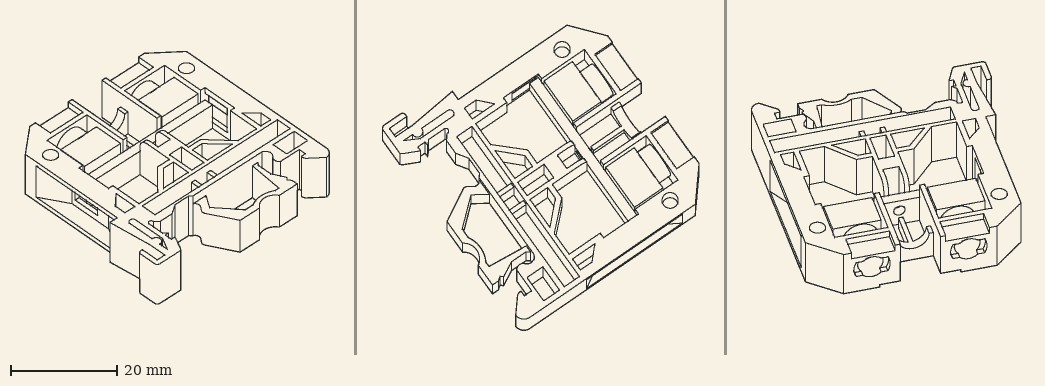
import cadquery as cq


length = 45.0
height = 10.0
half_width = 21.0
foot_bottom_y = -25.0
wall = 1.0
floor_z = wall

face_half_width = 14.95
bevel_length = 5.1
body_end_x = 30.05
rail_face_x = 35.45
lowered_top_z = 8.0

entry_y = 9.45
notch_half_width = 3.9
clamp_pocket_inner_y = notch_half_width + wall
clamp_pocket_outer_y = 15.3
crossbar_x = 14.9
crossbar_thickness = 2.02
crossbar_top_z = 6.9
chamber_x = crossbar_x + crossbar_thickness
entry_z = 5.55
entry_radius = 2.5
ear_radius = 3.55
ear_half_height = 1.75
ear_depth = 1.15
screw_head_radius = 3.55
clamp_x = 8.2
clamp_length = 6.55
clamp_width = 9.45
clamp_top_z = 9.25
label_depth = 1.43
label_length = 4.05
label_outer_y = 13.45

bearing_wall_thickness = 1.95
bearing_z = 6.55
bearing_radius = 3.1
bearing_rib_width = 0.9
bearing_rib_length = 8.92
pin_hole_radius = 1.1
pin_hole_z = 4.45

chamber_outer_y = 16.4
chamber_step_x = 22.9
rib_outer_y = 2.5
rib_inner_y = 1.55
rib_round = 1.95
bridge_start_x = 20.95
bridge_end_x = 23.95
brace_x = 24.95
brace_knee_y = 5.6
brace_end_y = 10.45
brace_hole_x = 26.0
brace_hole_knee_y = 5.0
brace_hole_end_y = 9.0
corner_hole_x = 27.35
corner_hole_y = 19.0

slot_start_x = 30.9
slot_end_x = 34.35
slot_top_y = 19.9

relief_end_x = 39.1
relief_bottom_y = 14.45
relief_round = 0.25

nose_top_y = 11.55
nose_bottom_y = -6.9

recess_start_x = 8.05
recess_floor_start_x = 14.08
recess_floor_end_x = 24.0
recess_depth = half_width - chamber_outer_y - wall
recess_top_z = 8.92
recess_bottom_z = 1.1
window_size = 6.03
window_bottom_z = 2.55

marking_hole_x = 8.55
marking_hole_y = 17.7
marking_hole_radius = 1.5
marking_hole_depth = 4.6
base_relief_half_width = 7.9
base_relief_height = 0.6

foot_x = 39.85
foot_round = 0.7
foot_slot_end_x = 43.85
foot_slot_top_y = -21.9
foot_slot_bottom_y = -23.87
foot_slot_floor_z = 1.45

MARGIN = 0.45


def box(x0, x1, y0, y1, z0, z1):
    """Axis-aligned block between the given limits."""
    size = (x1 - x0, y1 - y0, z1 - z0)
    return cq.Workplane("XY").box(*size, centered=False).translate((x0, y0, z0))


def prism(points, z0=floor_z, z1=height + MARGIN):
    """Upright prism over a closed polygon."""
    return cq.Workplane("XY").workplane(offset=z0).polyline(points).close().extrude(z1 - z0)


def x_cylinder(x0, x1, y, z, radius):
    """Cylinder along X."""
    return cq.Workplane("YZ", origin=(x0, y, z)).circle(radius).extrude(x1 - x0)


def side_box(side, x0, x1, inner_y, outer_y, z0, z1):
    """Block on the +Y (side = 1) or -Y (side = -1) half of the body."""
    low_y, high_y = sorted((side * inner_y, side * outer_y))
    return box(x0, x1, low_y, high_y, z0, z1)


def side_prism(side, points, z0=floor_z, z1=height + MARGIN):
    """Upright prism on the +Y or -Y half of the body."""
    return prism([(x, side * y) for x, y in points], z0, z1)


def housing_blank():
    """Full-height outline with the rail hook, support nose and sprung foot."""
    outline = (
        cq.Workplane("XY")
        .moveTo(0, -notch_half_width)
        .lineTo(bevel_length, -notch_half_width)
        .lineTo(bevel_length, notch_half_width)
        .lineTo(0, notch_half_width)
        .lineTo(0, face_half_width)
        .lineTo(bevel_length, half_width)
        .lineTo(43.0, half_width)
        .threePointArc((44.35, 20.5), (length, 19.15))
        .lineTo(42.55, 16.25)
        .threePointArc((42.05, 15.95), (41.5, 15.95))
        .lineTo(41.5, 17.0)
        .lineTo(foot_x, 17.0)
        .lineTo(foot_x, 12.1)
        .threePointArc((38.9, 11.6), (37.9, 11.95))
        .threePointArc((36.9, 12.5), (rail_face_x, nose_top_y))
        .lineTo(rail_face_x, 10.45)
        .lineTo(36.15, 9.95)
        .lineTo(39.45, 9.95)
        .lineTo(42.35, 11.45)
        .lineTo(42.83, 11.0)
        .lineTo(43.65, nose_top_y)
        .lineTo(length, nose_top_y)
        .lineTo(length, 6.85)
        .threePointArc((43.55, 4.32), (length, 1.75))
        .lineTo(length, -3.35)
        .lineTo(38.9, -6.75)
        .threePointArc((38.5, -6.85), (38.1, -6.75))
        .lineTo(37.0, -6.0)
        .threePointArc((36.15, -5.9), (rail_face_x, -6.55))
        .lineTo(34.9, -7.1)
        .lineTo(34.9, -10.63)
        .lineTo(36.4, -12.85)
        .lineTo(36.4, -15.85)
        .lineTo(35.55, -16.9)
        .threePointArc((34.9, -17.4), (35.3, -17.9))
        .lineTo(39.0, -17.9)
        .lineTo(foot_x, -17.05)
        .lineTo(foot_x, -17.9)
        .lineTo(41.5, -17.9)
        .lineTo(41.5, -16.97)
        .lineTo(44.55, -18.45)
        .lineTo(length, -18.8)
        .lineTo(length, foot_bottom_y)
        .lineTo(foot_x, foot_bottom_y)
        .lineTo(foot_x, foot_slot_top_y)
        .lineTo(body_end_x, -22.95)
        .lineTo(body_end_x, -half_width)
        .lineTo(bevel_length, -half_width)
        .lineTo(0, -face_half_width)
        .close()
    )
    blank = outline.extrude(height)
    foot_corners = cq.selectors.BoxSelector(
        (foot_x - MARGIN, foot_bottom_y - MARGIN, 0),
        (length + MARGIN, foot_bottom_y + MARGIN, height),
    )
    return blank.edges("|Z").edges(foot_corners).fillet(foot_round)


def nose_opening():
    """Through opening that leaves the support nose as a closed loop."""
    return (
        cq.Workplane("XY")
        .moveTo(rail_face_x, 9.0)
        .lineTo(43.45, 8.25)
        .lineTo(43.45, 7.25)
        .threePointArc((42.7, 4.35), (43.45, 1.45))
        .lineTo(43.45, -0.55)
        .lineTo(38.35, -4.95)
        .lineTo(rail_face_x, -3.1)
        .close()
        .extrude(height)
    )


def above_nose():
    """Space over the support nose, which is lower than the rest of the body."""
    return box(rail_face_x, length, nose_bottom_y, nose_top_y, lowered_top_z, height)


def spring_slit():
    """Through slit that frees the spring arm of the foot."""
    top_y = -18.95
    bottom_y = -20.42
    straight_start_x = 32.75
    return (
        cq.Workplane("XY")
        .moveTo(straight_start_x, top_y)
        .lineTo(40.2, top_y)
        .lineTo(43.0, bottom_y)
        .lineTo(40.95, bottom_y)
        .threePointArc((39.9, -19.3), (38.85, bottom_y))
        .lineTo(straight_start_x, bottom_y)
        .threePointArc((32.15, (top_y + bottom_y) / 2), (straight_start_x, top_y))
        .close()
        .extrude(height)
    )


def foot_slot():
    """Screwdriver slot in the foot, open at the top and toward -X."""
    return box(
        foot_x, foot_slot_end_x,
        foot_slot_bottom_y, foot_slot_top_y,
        foot_slot_floor_z, height + MARGIN,
    )


def cut_entry_tower(body, side):
    """Label recess, clamp pocket with its screw and clamp, and wire entry."""
    top = height + MARGIN
    center_y = side * entry_y
    label = side_box(
        side, -MARGIN, label_length, clamp_pocket_inner_y, label_outer_y,
        height - label_depth, top,
    )
    pocket = side_box(
        side, bevel_length, crossbar_x, clamp_pocket_inner_y, clamp_pocket_outer_y,
        floor_z, top,
    )
    screw_head = x_cylinder(bevel_length, clamp_x, center_y, entry_z, screw_head_radius)
    clamp_center_y = (clamp_pocket_outer_y + clamp_pocket_inner_y) / 2
    clamp = side_box(
        side, clamp_x, clamp_x + clamp_length,
        clamp_center_y - clamp_width / 2, clamp_center_y + clamp_width / 2,
        floor_z, clamp_top_z,
    )
    bore = x_cylinder(0, bevel_length, center_y, entry_z, entry_radius)
    ear_band = box(
        0, ear_depth, center_y - ear_radius, center_y + ear_radius,
        entry_z - ear_half_height, entry_z + ear_half_height,
    )
    ears = x_cylinder(0, ear_depth, center_y, entry_z, ear_radius).intersect(ear_band)
    body = body.cut(label).cut(pocket)
    body = body.union(screw_head).union(clamp)
    return body.cut(bore).cut(ears)


def cut_bearing_bay(body):
    """Bay between the towers with a half-round bearing wall and its rib."""
    bay = box(
        bevel_length, crossbar_x, -notch_half_width, notch_half_width,
        floor_z, height + MARGIN,
    )
    bearing = box(
        bevel_length, bevel_length + bearing_wall_thickness,
        -notch_half_width, notch_half_width, floor_z, bearing_z,
    )
    rib = box(
        bevel_length, bevel_length + bearing_rib_length,
        -bearing_rib_width / 2, bearing_rib_width / 2, floor_z, bearing_z,
    )
    seat = x_cylinder(bevel_length, crossbar_x, 0, bearing_z, bearing_radius)
    pin_hole = x_cylinder(crossbar_x, chamber_x, 0, pin_hole_z, pin_hole_radius)
    return body.cut(bay).union(bearing.union(rib).cut(seat)).cut(pin_hole)


def above_crossbar():
    """Space over the low crossbar between the clamp pockets and the chambers."""
    return box(
        crossbar_x, chamber_x, -chamber_outer_y, chamber_outer_y,
        crossbar_top_z, height + MARGIN,
    )


def cut_chamber(body, side):
    """Half of the main chamber with its slanted brace and corner hole."""
    chamber = side_prism(side, [
        (chamber_x, rib_outer_y),
        (chamber_x, chamber_outer_y),
        (chamber_step_x, chamber_outer_y),
        (chamber_step_x, clamp_pocket_outer_y),
        (body_end_x, clamp_pocket_outer_y),
        (body_end_x, brace_end_y),
        (brace_x, brace_knee_y),
        (brace_x, rib_outer_y),
    ])
    brace_hole = side_prism(side, [
        (brace_hole_x, rib_outer_y),
        (brace_hole_x, brace_hole_knee_y),
        (body_end_x, brace_hole_end_y),
        (body_end_x, rib_outer_y),
    ])
    corner_hole = side_prism(side, [
        (brace_x, chamber_outer_y),
        (corner_hole_x, corner_hole_y),
        (body_end_x, corner_hole_y),
        (body_end_x, chamber_outer_y),
    ])
    return body.cut(chamber).cut(brace_hole).cut(corner_hole)


def cut_center_channel(body):
    """Pockets between the two center ribs and the rounded rib noses."""
    top = height + MARGIN
    front = box(chamber_x, bridge_start_x, -rib_inner_y, rib_inner_y, floor_z, top)
    rear = box(bridge_end_x, body_end_x, -rib_inner_y, rib_inner_y, floor_z, top)
    nose_block = box(
        chamber_x, chamber_x + rib_round, -rib_outer_y, rib_outer_y,
        height - rib_round, height,
    )
    nose_round = (
        cq.Workplane("XZ", origin=(chamber_x + rib_round, rib_outer_y, height - rib_round))
        .circle(rib_round)
        .extrude(2 * rib_outer_y)
    )
    return body.cut(front).cut(rear).cut(nose_block.cut(nose_round))


def cut_cross_slot(body):
    """Long slot behind the chambers, crossed by two low ribs."""
    slot = box(
        slot_start_x, slot_end_x, -clamp_pocket_outer_y, slot_top_y,
        floor_z, height + MARGIN,
    )
    body = body.cut(slot)
    for side in (1, -1):
        rib = side_box(
            side, slot_start_x, slot_end_x, rib_inner_y, rib_outer_y, floor_z, lowered_top_z,
        )
        body = body.union(rib)
    return body


def hook_relief():
    """Pocket that lightens the fixed hook."""
    pocket = box(
        rail_face_x, relief_end_x, relief_bottom_y, slot_top_y, floor_z, height + MARGIN,
    )
    return pocket.edges("|Z and >X").fillet(relief_round)


def side_recess(side):
    """Ramped recess in a side wall with a window into the chamber."""
    recess_floor_y = half_width - recess_depth
    recess = side_prism(side, [
        (recess_start_x, half_width),
        (recess_floor_start_x, recess_floor_y),
        (recess_floor_end_x, recess_floor_y),
        (body_end_x, half_width),
    ], recess_bottom_z, recess_top_z)
    window = side_box(
        side, crossbar_x, crossbar_x + window_size, chamber_outer_y, recess_floor_y,
        window_bottom_z, window_bottom_z + window_size,
    )
    return recess.union(window)


def marking_holes():
    """Blind round holes beside the clamp pockets."""
    return (
        cq.Workplane("XY", origin=(0, 0, height - marking_hole_depth))
        .pushPoints([(marking_hole_x, marking_hole_y), (marking_hole_x, -marking_hole_y)])
        .circle(marking_hole_radius)
        .extrude(marking_hole_depth)
    )


def base_relief():
    """Shallow relief under the wire entries, open toward -X."""
    return box(
        0, crossbar_x, -base_relief_half_width, base_relief_half_width, 0, base_relief_height,
    )


body = housing_blank()
body = body.cut(nose_opening()).cut(above_nose()).cut(spring_slit()).cut(foot_slot())
body = cut_bearing_bay(body)
body = body.cut(above_crossbar())
body = cut_center_channel(body)
for side in (1, -1):
    body = cut_entry_tower(body, side)
    body = cut_chamber(body, side)
    body = body.cut(side_recess(side))
body = cut_cross_slot(body)
result = body.cut(hook_relief()).cut(marking_holes()).cut(base_relief())